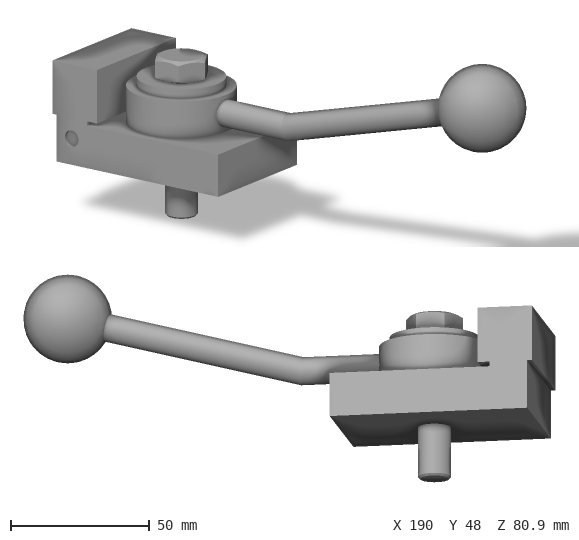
import cadquery as cq
import math

WIDTH = 48.0

BASE_LEFT = -38.2
BASE_LENGTH = 72.2
BASE_HEIGHT = 16.0
RECESS_DIAMETER = 6.0
RECESS_DEPTH = 1.1
RECESS_DROP = 6.0

JAW_OVERHANG = 1.7
JAW_LENGTH = 19.8
JAW_TOP = 21.8
NECK_LENGTH = 13.7
NECK_HEIGHT = 1.7

HUB_DIAMETER = 39.9
HUB_HEIGHT = 13.9
COLLAR_DIAMETER = 32.3
COLLAR_HEIGHT = 3.5
ROD_DIAMETER = 10.0
BEND_X = 48.3
BEND_ANGLE = 15.0
BALL_DIAMETER = 32.0
BALL_X = 134.1

SHANK_DIAMETER = 12.0
SHANK_PROTRUSION = 19.0
TIP_CHAMFER = 0.8
HEAD_FLATS = 18.0
HEAD_HEIGHT = 8.0
HEAD_TOP_DIAMETER = 15.8
HEAD_TOP_CHAMFER_HEIGHT = 1.1
HEAD_BOTTOM_DIAMETER = 18.0
HEAD_BOTTOM_CHAMFER_HEIGHT = 0.8

JAW_LEFT = BASE_LEFT - JAW_OVERHANG
RECESS_X = BASE_LEFT + NECK_LENGTH / 2
ROD_Z = HUB_HEIGHT / 2
BALL_Z = ROD_Z + (BALL_X - BEND_X) * math.tan(math.radians(BEND_ANGLE))
HEAD_BOTTOM = HUB_HEIGHT + COLLAR_HEIGHT
SHANK_BOTTOM = -BASE_HEIGHT - SHANK_PROTRUSION
HEAD_CORNERS = HEAD_FLATS / math.cos(math.radians(30))


def block(left, length, bottom, height):
    """Full-width block, centred on Y."""
    return (
        cq.Workplane("XY", origin=(left, 0, bottom))
        .box(length, WIDTH, height, centered=(False, True, False))
    )


def cylinder(diameter, bottom, height):
    """Cylinder on the bolt axis."""
    return cq.Workplane("XY", origin=(0, 0, bottom)).circle(diameter / 2).extrude(height)


def make_base():
    base = block(BASE_LEFT, BASE_LENGTH, -BASE_HEIGHT, BASE_HEIGHT)
    bolt_hole = cylinder(SHANK_DIAMETER, -BASE_HEIGHT, BASE_HEIGHT)
    recess = (
        cq.Workplane("XZ", origin=(RECESS_X, -WIDTH / 2, -RECESS_DROP))
        .circle(RECESS_DIAMETER / 2)
        .extrude(-RECESS_DEPTH)
    )
    return base.cut(bolt_hole).cut(recess)


def make_jaw():
    neck = block(BASE_LEFT, NECK_LENGTH, 0, NECK_HEIGHT)
    return neck.union(block(JAW_LEFT, JAW_LENGTH, NECK_HEIGHT, JAW_TOP - NECK_HEIGHT))


def make_lever():
    hub = cylinder(HUB_DIAMETER, 0, HUB_HEIGHT)
    collar = cylinder(COLLAR_DIAMETER, HUB_HEIGHT, COLLAR_HEIGHT)
    rod_path = (
        cq.Workplane("XZ")
        .moveTo(0, ROD_Z)
        .lineTo(BEND_X, ROD_Z)
        .lineTo(BALL_X, BALL_Z)
    )
    rod = (
        cq.Workplane("YZ", origin=(0, 0, ROD_Z))
        .circle(ROD_DIAMETER / 2)
        .sweep(rod_path, transition="right")
    )
    ball = cq.Workplane("XY", origin=(BALL_X, 0, BALL_Z)).sphere(BALL_DIAMETER / 2)
    bolt_hole = cylinder(SHANK_DIAMETER, 0, HEAD_BOTTOM)
    return hub.union(collar).union(rod).union(ball).cut(bolt_hole)


def make_bolt():
    head = (
        cq.Workplane("XY", origin=(0, 0, HEAD_BOTTOM))
        .polygon(6, HEAD_CORNERS)
        .extrude(HEAD_HEIGHT)
    )
    head_top = HEAD_BOTTOM + HEAD_HEIGHT
    envelope = (
        cq.Workplane("XZ")
        .moveTo(0, HEAD_BOTTOM)
        .lineTo(HEAD_BOTTOM_DIAMETER / 2, HEAD_BOTTOM)
        .lineTo(HEAD_CORNERS / 2, HEAD_BOTTOM + HEAD_BOTTOM_CHAMFER_HEIGHT)
        .lineTo(HEAD_CORNERS / 2, head_top - HEAD_TOP_CHAMFER_HEIGHT)
        .lineTo(HEAD_TOP_DIAMETER / 2, head_top)
        .lineTo(0, head_top)
        .close()
        .revolve(360, (0, 0, 0), (0, 1, 0))
    )
    shank = (
        cylinder(SHANK_DIAMETER, SHANK_BOTTOM, HEAD_BOTTOM - SHANK_BOTTOM)
        .faces("<Z")
        .chamfer(TIP_CHAMFER)
    )
    return head.intersect(envelope).union(shank)


base = make_base()
jaw = make_jaw()
lever = make_lever()
bolt = make_bolt()

result = cq.Compound.makeCompound([base.val(), jaw.val(), lever.val(), bolt.val()])